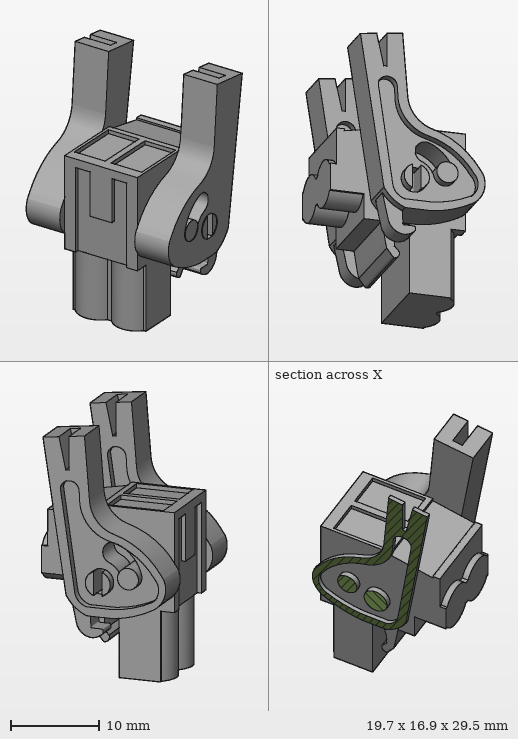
import cadquery as cq
import math


HOUSING_WIDTH = 9.98
HALF_WIDTH = HOUSING_WIDTH / 2
BOX_FRONT_Y = -7.45
BOX_BACK_Y = 4.7
BOX_BOTTOM_Z = -3.93
BOX_TOP_Z = 7.85

REAR_BLOCK_Y = 7.95
REAR_BLOCK_BOTTOM_Z = -0.9
RIDGE_TOP_Z = 6.7
RIDGE_FRONT_Y = 7.03
SLOPE_LOW_Z = 6.46
SLOPE_HIGH_Z = 7.5
SLOPE_TOP_Y = 1.55

POLE_PITCH = 4.95
LOBE_WIDTH = 4.43

LOWER_PLUG_BACK_Y = -0.75
LOWER_PLUG_FRONT_Y = -5.73
LOWER_LOBE_RISE = 1.03
LOWER_PLUG_END_Z = -12.28

REAR_PLUG_TOP_Z = 2.33
REAR_LOBE_RISE = 1.18
REAR_PLUG_END_Y = 8.7

RECESS_DEPTH = 0.5
POCKET_WIDTH = 4.2
POCKET_PITCH = 5.02
POCKET_FRONT_Y = -6.0
POCKET_BACK_Y = 0.83
FRONT_RECESS_WIDTH = 7.0
FRONT_RECESS_TOP_Z = 6.75
TONGUE_WIDTH = 3.0
TONGUE_BOTTOM_Z = 1.18

LEVER_WIDTH = 4.6
LEVER_GAP = 0.15
LEVER_BOTTOM_Z = BOX_BOTTOM_Z
LEVER_RECESS_DEPTH = 1.0
LEVER_RECESS_BOTTOM_Z = -2.85
GRIP_NOTCH_DEPTH = 3.6
NOTCH_CLEAR_Z = 17.7
HOOK_WIDTH = 2.5
HOOK_LEDGE_Z = -5.6
HOOK_TIP_Y = -0.2
HOOK_ROOT_Y = 1.27
HOOK_ROOT_RADIUS = 0.15
HOOK_TIP_RADIUS = 0.2

PIN_LENGTH = 19.7
PIN_END_X = PIN_LENGTH / 2
PIVOT_RADIUS = 1.5
PIVOT_SLOT_WIDTH = 1.03
PIVOT_SLOT_DEPTH = 2.95
GUIDE_RADIUS = 1.27
GUIDE_ORBIT = 3.78
GUIDE_ANGLE = 165.5
LEVER_TRAVEL = 53.0


def box_between(x_range, y_range, z_range):
    """Box given by its limits along each axis."""
    size = [high - low for low, high in (x_range, y_range, z_range)]
    corner = (x_range[0], y_range[0], z_range[0])
    return cq.Workplane("XY").box(*size, centered=False).translate(corner)


def cross_rod(radius, y, z, half_length):
    """Round rod along X, centred on X = 0."""
    return cq.Workplane("YZ").center(y, z).circle(radius).extrude(half_length, both=True)


def orbit_point(radius, angle):
    """Point (y, z) at a radius and an angle in degrees about the pivot axis."""
    return radius * math.cos(math.radians(angle)), radius * math.sin(math.radians(angle))


def lobed_edge(sketch, flat, rise):
    """Draw one straight edge at height `flat` from left to right, with an arched lobe per pole."""
    for center in (-POLE_PITCH / 2, POLE_PITCH / 2):
        sketch = sketch.lineTo(center - LOBE_WIDTH / 2, flat)
        sketch = sketch.threePointArc((center, flat + rise), (center + LOBE_WIDTH / 2, flat))
    return sketch.lineTo(HALF_WIDTH, flat)


def lower_plug():
    """Downward plug: flat at the back, lobed at the front."""
    sketch = cq.Workplane("XY").moveTo(-HALF_WIDTH, LOWER_PLUG_BACK_Y)
    sketch = sketch.lineTo(-HALF_WIDTH, LOWER_PLUG_FRONT_Y)
    sketch = lobed_edge(sketch, LOWER_PLUG_FRONT_Y, -LOWER_LOBE_RISE)
    profile = sketch.lineTo(HALF_WIDTH, LOWER_PLUG_BACK_Y).close()
    return profile.extrude(BOX_BOTTOM_Z - LOWER_PLUG_END_Z).translate((0, 0, LOWER_PLUG_END_Z))


def rear_plug():
    """Backward plug, lobed above and below; its upper lobes emerge only beyond the rear block."""
    middle_z = (REAR_BLOCK_BOTTOM_Z + REAR_PLUG_TOP_Z) / 2
    half_height = REAR_PLUG_TOP_Z - middle_z
    sketch = cq.Workplane("XZ").moveTo(-HALF_WIDTH, 0).lineTo(-HALF_WIDTH, half_height)
    half = lobed_edge(sketch, half_height, REAR_LOBE_RISE).lineTo(HALF_WIDTH, 0).close()
    upper = half.extrude(BOX_BACK_Y - REAR_PLUG_END_Y)
    both = upper.union(upper.mirror("XY"))
    return both.translate((0, BOX_BACK_Y, middle_z))


def housing_latch():
    """Snap arm hanging from the box behind the lower plug."""
    profile = (
        cq.Workplane("YZ")
        .moveTo(2.55, BOX_BOTTOM_Z)
        .lineTo(0.62, BOX_BOTTOM_Z)
        .lineTo(1.05, -5.7)
        .lineTo(1.05, -6.8)
        .lineTo(0.5, -7.38)
        .threePointArc((0.55, -7.97), (1.05, -8.25))
        .lineTo(1.27, -8.1)
        .lineTo(1.98, -7.17)
        .lineTo(2.13, -6.46)
        .close()
    )
    return profile.extrude(HALF_WIDTH, both=True)


def make_housing(pins):
    """Connector housing with both plugs, its latch, shallow recesses and bores for the pins."""
    side_profile = (
        cq.Workplane("YZ")
        .moveTo(BOX_FRONT_Y, BOX_BOTTOM_Z)
        .lineTo(BOX_FRONT_Y, BOX_TOP_Z)
        .lineTo(SLOPE_TOP_Y, BOX_TOP_Z)
        .lineTo(SLOPE_TOP_Y, SLOPE_HIGH_Z)
        .lineTo(RIDGE_FRONT_Y, SLOPE_LOW_Z)
        .lineTo(RIDGE_FRONT_Y, RIDGE_TOP_Z)
        .lineTo(REAR_BLOCK_Y, RIDGE_TOP_Z)
        .lineTo(REAR_BLOCK_Y, REAR_BLOCK_BOTTOM_Z)
        .lineTo(BOX_BACK_Y, REAR_BLOCK_BOTTOM_Z)
        .lineTo(BOX_BACK_Y, BOX_BOTTOM_Z)
        .close()
    )
    body = side_profile.extrude(HALF_WIDTH, both=True)
    body = body.union(lower_plug()).union(rear_plug()).union(housing_latch())

    for center in (-POCKET_PITCH / 2, POCKET_PITCH / 2):
        x_range = (center - POCKET_WIDTH / 2, center + POCKET_WIDTH / 2)
        z_range = (BOX_TOP_Z - RECESS_DEPTH, BOX_TOP_Z)
        body = body.cut(box_between(x_range, (POCKET_FRONT_Y, POCKET_BACK_Y), z_range))

    y_range = (BOX_FRONT_Y, BOX_FRONT_Y + RECESS_DEPTH)
    x_range = (-FRONT_RECESS_WIDTH / 2, FRONT_RECESS_WIDTH / 2)
    recess = box_between(x_range, y_range, (BOX_BOTTOM_Z, FRONT_RECESS_TOP_Z))
    tongue_x_range = (-TONGUE_WIDTH / 2, TONGUE_WIDTH / 2)
    tongue = box_between(tongue_x_range, y_range, (TONGUE_BOTTOM_Z, FRONT_RECESS_TOP_Z))
    body = body.cut(recess.cut(tongue))

    for pin in pins:
        body = body.cut(pin)
    return body


def lever_blank():
    """Outer shape of the lever: a leaning grip on a rounded cam."""
    return (
        cq.Workplane("YZ")
        .moveTo(6.7, 16.6)
        .lineTo(1.65, 17.25)
        .lineTo(1.03, 9.53)
        .threePointArc((0.1, 7.3), (-2.0, 6.0))
        .threePointArc((-5.35, 4.28), (-7.6, 1.83))
        .lineTo(-7.95, 1.3)
        .threePointArc((-8.18, -0.15), (-7.68, -1.54))
        .threePointArc((-7.23, -2.05), (-6.65, -2.45))
        .threePointArc((-4.4, -3.4), (-1.77, LEVER_BOTTOM_Z))
        .lineTo(1.35, LEVER_BOTTOM_Z)
        .threePointArc((2.83, -3.05), (3.9, -1.75))
        .close()
        .extrude(LEVER_WIDTH)
    )


def lever_recess():
    """Recess in the -X face, following the lever outline inside a rim."""
    return (
        cq.Workplane("YZ")
        .moveTo(4.58, 10.75)
        .threePointArc((3.45, 11.78), (2.3, 10.75))
        .lineTo(2.25, 9.83)
        .threePointArc((1.05, 6.6), (-1.42, 5.15))
        .threePointArc((-4.58, 3.65), (-6.85, 1.25))
        .threePointArc((-7.25, -0.55), (-6.5, -1.55))
        .threePointArc((-4.15, -2.45), (-1.77, LEVER_RECESS_BOTTOM_Z))
        .lineTo(1.35, LEVER_RECESS_BOTTOM_Z)
        .threePointArc((2.35, -2.27), (2.85, -1.12))
        .close()
        .extrude(LEVER_RECESS_DEPTH)
    )


def grip_notch():
    """Tapered notch in the end of the grip, open to the -X face."""
    return (
        cq.Workplane("YZ")
        .moveTo(3.93, 13.02)
        .lineTo(3.5, 13.02)
        .lineTo(3.5, NOTCH_CLEAR_Z)
        .lineTo(4.93, NOTCH_CLEAR_Z)
        .close()
        .extrude(GRIP_NOTCH_DEPTH)
    )


def lever_hook():
    """Locking hook below the cam, in the middle of the lever width."""
    return (
        cq.Workplane("YZ")
        .moveTo(3.78, -1.77)
        .lineTo(3.0, -5.3)
        .threePointArc((2.55, -6.15), (1.3, -6.75))
        .threePointArc((0.47, -6.6), (HOOK_TIP_Y, -6.1))
        .lineTo(HOOK_TIP_Y, HOOK_LEDGE_Z - HOOK_TIP_RADIUS)
        .radiusArc((HOOK_TIP_Y + HOOK_TIP_RADIUS, HOOK_LEDGE_Z), HOOK_TIP_RADIUS)
        .lineTo(HOOK_ROOT_Y - HOOK_ROOT_RADIUS, HOOK_LEDGE_Z)
        .radiusArc((HOOK_ROOT_Y, HOOK_LEDGE_Z + HOOK_ROOT_RADIUS), -HOOK_ROOT_RADIUS)
        .lineTo(1.35, LEVER_BOTTOM_Z)
        .lineTo(1.35, -1.77)
        .close()
        .extrude(HOOK_WIDTH)
        .translate(((LEVER_WIDTH - HOOK_WIDTH) / 2, 0, 0))
    )


def guide_slot():
    """Curved slot about the pivot, with the guide pin at one end."""
    inner = GUIDE_ORBIT - GUIDE_RADIUS
    outer = GUIDE_ORBIT + GUIDE_RADIUS
    far_angle = GUIDE_ANGLE - LEVER_TRAVEL
    middle_angle = GUIDE_ANGLE - LEVER_TRAVEL / 2
    slot = (
        cq.Workplane("YZ")
        .moveTo(*orbit_point(inner, GUIDE_ANGLE))
        .threePointArc(orbit_point(inner, middle_angle), orbit_point(inner, far_angle))
        .lineTo(*orbit_point(outer, far_angle))
        .threePointArc(orbit_point(outer, middle_angle), orbit_point(outer, GUIDE_ANGLE))
        .close()
        .extrude(LEVER_WIDTH)
    )
    for angle in (GUIDE_ANGLE, far_angle):
        slot_end = cq.Workplane("YZ").center(*orbit_point(GUIDE_ORBIT, angle)).circle(GUIDE_RADIUS)
        slot = slot.union(slot_end.extrude(LEVER_WIDTH))
    return slot


def make_lever(start_x):
    """Lever whose -X face lies at start_x."""
    pivot_hole = cq.Workplane("YZ").circle(PIVOT_RADIUS).extrude(LEVER_WIDTH)
    lever = lever_blank().union(lever_hook())
    lever = lever.cut(lever_recess()).cut(grip_notch()).cut(pivot_hole).cut(guide_slot())
    return lever.translate((start_x, 0, 0))


def make_pivot_pin():
    """Pivot pin with an upright, round-bottomed slot in each end."""
    pin = cross_rod(PIVOT_RADIUS, 0, 0, PIN_END_X)
    slot_radius = PIVOT_SLOT_WIDTH / 2
    bottom_x = PIN_END_X - PIVOT_SLOT_DEPTH + slot_radius
    half_slot = (-slot_radius, slot_radius)
    full_height = (-PIVOT_RADIUS, PIVOT_RADIUS)
    slot = box_between((bottom_x, PIN_END_X), half_slot, full_height)
    slot_bottom = cq.Workplane("XY").center(bottom_x, 0).circle(slot_radius)
    slot = slot.union(slot_bottom.extrude(PIVOT_RADIUS, both=True))
    return pin.cut(slot).cut(slot.mirror("YZ"))


def make_guide_pin():
    """Plain pin that runs in the curved slots of the levers."""
    return cross_rod(GUIDE_RADIUS, *orbit_point(GUIDE_ORBIT, GUIDE_ANGLE), PIN_END_X)


pivot_pin = make_pivot_pin()
guide_pin = make_guide_pin()
housing = make_housing((pivot_pin, guide_pin))

lever_inner_x = HALF_WIDTH + LEVER_GAP
lever_starts = (-lever_inner_x - LEVER_WIDTH, lever_inner_x)
levers = [make_lever(start_x) for start_x in lever_starts]

bodies = [housing, *levers, pivot_pin, guide_pin]
result = cq.Compound.makeCompound([body.solids().val() for body in bodies])